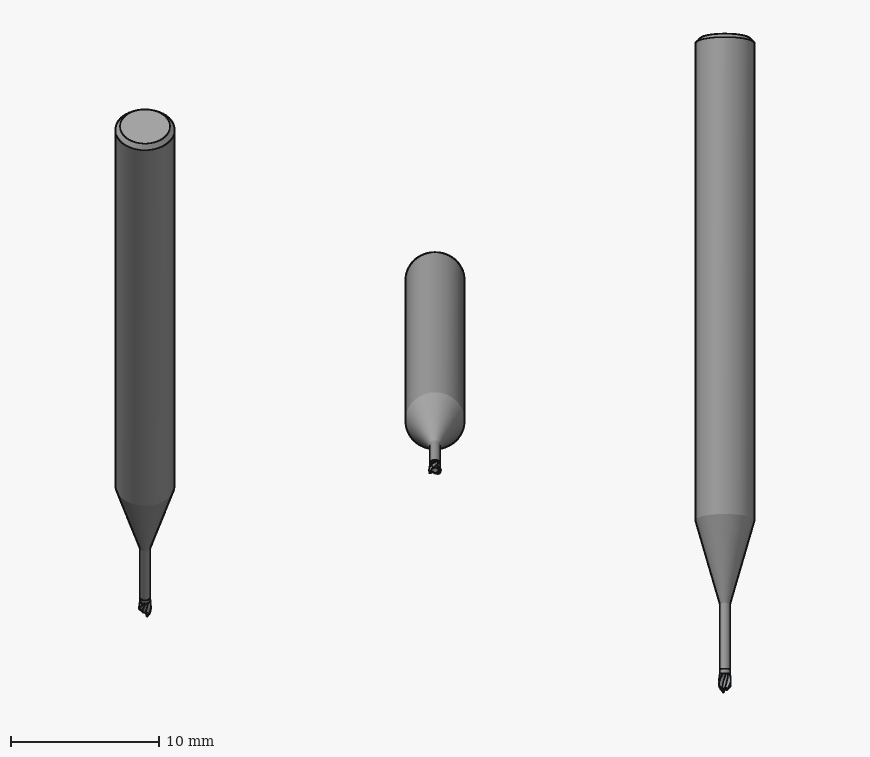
import cadquery as cq
import math

overall_length = 45.0
shank_radius = 4.0 / 2
shank_chamfer = 0.3
cone_top_z = 11.8
neck_top_z = 6.05
neck_radius = 0.35

head_length = 1.5
collar_height = 0.3
cutter_radius = 0.4
web_radius = 0.202
tooth_count = 2
land_angle = 40.0
tooth_root_angle = 110.0
flute_length = head_length - collar_height
helix_pitch = 4.05
flute_twist = 360.0 * flute_length / helix_pitch
end_relief_angle = 45.0
dish_depth = 0.2
dish_radius = 0.338
dish_floor_radius = 0.22


def polar(radius, angle):
    """Point at a radius and an angle in degrees."""
    turn = math.radians(angle)
    return radius * math.cos(turn), radius * math.sin(turn)


def make_shank():
    """Chamfered shank, tapering through a cone to the slender neck."""
    profile = (
        cq.Workplane("XZ")
        .moveTo(0, head_length)
        .lineTo(neck_radius, head_length)
        .lineTo(neck_radius, neck_top_z)
        .lineTo(shank_radius, cone_top_z)
        .lineTo(shank_radius, overall_length - shank_chamfer)
        .lineTo(shank_radius - shank_chamfer, overall_length)
        .lineTo(0, overall_length)
        .close()
    )
    return profile.revolve(360, (0, 0, 0), (0, 1, 0))


def make_flute_section():
    """Closed cross-section of the teeth and web, with a land starting on +X."""
    tooth_step = 360.0 / tooth_count
    first_center = land_angle / 2
    section = cq.Workplane("XY").moveTo(*polar(web_radius, first_center - tooth_root_angle / 2))
    for tooth in range(tooth_count):
        center = first_center + tooth * tooth_step
        section = (
            section
            .lineTo(*polar(cutter_radius, center - land_angle / 2))
            .threePointArc(
                polar(cutter_radius, center),
                polar(cutter_radius, center + land_angle / 2),
            )
            .lineTo(*polar(web_radius, center + tooth_root_angle / 2))
            .threePointArc(
                polar(web_radius, center + tooth_step / 2),
                polar(web_radius, center + tooth_step - tooth_root_angle / 2),
            )
        )
    return section.close()


def make_end_dish():
    """Conical hollow that leaves the tooth corners as the lowest points."""
    return (
        cq.Workplane("XY")
        .circle(dish_radius)
        .workplane(offset=dish_depth)
        .circle(dish_floor_radius)
        .loft()
    )


def make_end_relief():
    """Wedges that slope the tooth ends up on both sides of the X axis."""
    rise = cutter_radius * math.tan(math.radians(end_relief_angle))
    outline = [(0, 0), (cutter_radius, rise), (cutter_radius, 0)]
    wedge = cq.Workplane("YZ").polyline(outline).close().extrude(cutter_radius, both=True)
    return wedge.union(wedge.mirror("XZ"))


def make_cutting_head():
    """Helical teeth with a dished end, below a round collar at the neck."""
    teeth = make_flute_section().twistExtrude(flute_length, flute_twist)
    collar = cq.Workplane("XY").workplane(offset=flute_length).circle(neck_radius).extrude(collar_height)
    return teeth.union(collar).cut(make_end_relief()).cut(make_end_dish())


shank = make_shank()
cutting_head = make_cutting_head()

result = cq.Compound.makeCompound([shank.val(), *cutting_head.solids().vals()])